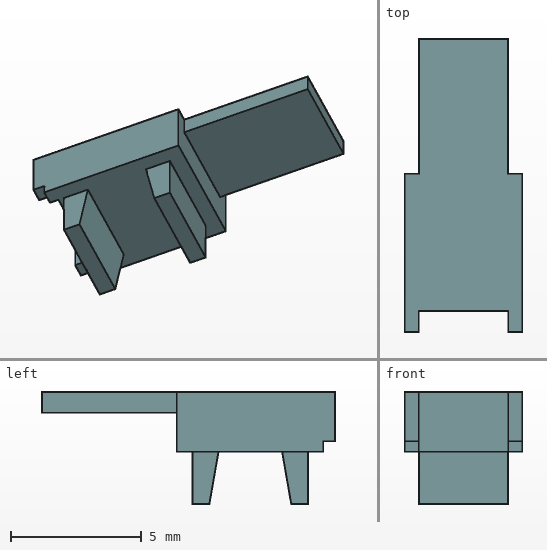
import cadquery as cq

total_length = 11.2
body_width = 4.5
body_length = 6.05
body_height = 2.29

tongue_width = 3.4
tongue_thickness = 0.8
tongue_length = total_length - body_length

recess_width = tongue_width
recess_depth = 0.8
step_length = 0.45
step_height = 0.4

leg_width = tongue_width
leg_height = 2.0
leg_root = 1.0
leg_tip = 0.65
front_leg_setback = 1.03
rear_leg_setback = 0.6



def box(width, y_start, y_end, z_start, z_end):
    """Block centred on X = 0, spanning the given Y and Z ranges."""
    block = cq.Workplane("XY").box(width, y_end - y_start, z_end - z_start, centered=(True, False, False))
    return block.translate((0, y_start, z_start))


def make_body():
    body = box(body_width, 0, body_length, 0, body_height)
    recess = box(recess_width, 0, recess_depth, 0, body_height)
    step = box(body_width, 0, step_length, 0, step_height)
    return body.cut(recess).cut(step)


def make_tongue():
    tongue_bottom = body_height - tongue_thickness
    return box(tongue_width, body_length, body_length + tongue_length, tongue_bottom, body_height)


def make_leg(outer_y, inward):
    """Leg with a vertical outer face at outer_y; inward (+1 or -1) is the Y direction of its sloped face."""
    profile = [
        (outer_y, 0),
        (outer_y + inward * leg_root, 0),
        (outer_y + inward * leg_tip, -leg_height),
        (outer_y, -leg_height),
    ]
    return cq.Workplane("YZ").polyline(profile).close().extrude(leg_width / 2, both=True)


front_leg = make_leg(front_leg_setback, 1)
rear_leg = make_leg(body_length - rear_leg_setback, -1)

result = make_body().union(make_tongue()).union(front_leg).union(rear_leg)